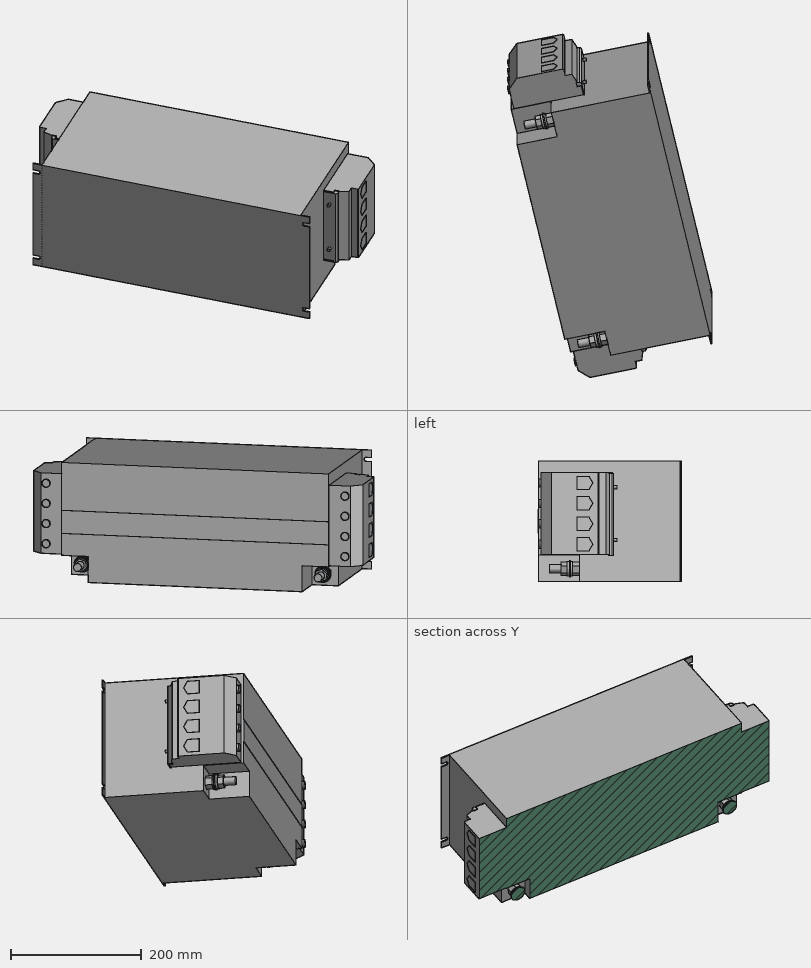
import cadquery as cq

housing_width = 420.5
housing_rear = 218.5
housing_height = 185.0

band_bottom = 75.0
band_top = 110.5
band_thickness = 0.5

plate_width = 449.0
plate_thickness = 2.0
slot_width = 6.0
slot_depth = 11.5
slot_spacing = 155.5

overall_width = 519.5
cell_count = 4
terminal_bottom = 41.5
terminal_top = 167.0
cell_height = (terminal_top - terminal_bottom) / cell_count
marker_thickness = 0.5
terminal_face = overall_width / 2 - marker_thickness
terminal_rear = 214.5
rear_chamfer = 15.5
front_chamfer = 1.5
terminal_nose = 125.5
step_face = 248.0
step_front = 115.5
slope_face = 232.5
slope_front = 110.0
lip_rear = 111.5
lip_inner_face = 226.0
terminal_front = 105.5

marker_rear = 160.0
marker_shoulder = 141.5
marker_tip = 135.5
marker_height = 20.5

cap_diameter = 12.5
cap_height = 3.0
cap_x = 235.5

bracket_drop = 1.5
bracket_front = 104
bracket_chamfer = 2.5
bracket_screw_diameter = 4.5
bracket_screw_end = 98.5
bracket_screw_x = 220.5
bracket_screw_spacing = 80.5

recess_depth = 41.5
recess_front = 156
recess_top = 40.5
stud_x = housing_width / 2 - recess_depth / 2
stud_z = 20.0
stud_diameter = 12.5
stud_tip = 202.0
hex_corner_diameter = 21
hex_tilt = 8
lower_nut_rear = 167.0
large_washer_front = 169.5
large_washer_rear = 171.5
small_washer_rear = 175.0
upper_nut_rear = 184.0
small_washer_diameter = 22.5
large_washer_diameter = 25.0


def slab(width, y_front, y_rear, z_bottom, z_top):
    """Block centred on X."""
    size = (width, y_rear - y_front, z_top - z_bottom)
    return cq.Workplane("XY").box(*size, centered=(True, False, False)).translate((0, y_front, z_bottom))


def prism(points, z_bottom, z_top):
    """Upright prism over an outline in X and Y."""
    return cq.Workplane("XY").workplane(offset=z_bottom).polyline(points).close().extrude(z_top - z_bottom)


def rod(diameter, x, z, y_front, y_rear):
    """Cylinder along Y."""
    plane = cq.Workplane("XZ", origin=(x, y_front, z))
    return plane.circle(diameter / 2).extrude(y_front - y_rear)


def hex_nut(y_front, y_rear):
    """Hexagon on the earth stud axis, turned so that one corner leans off the vertical."""
    plane = cq.Workplane("XZ", origin=(stud_x, y_front, stud_z))
    nut = plane.polygon(6, hex_corner_diameter).extrude(y_front - y_rear)
    return nut.rotate((stud_x, 0, stud_z), (stud_x, 1, stud_z), 90 + hex_tilt)


def mounting_plate():
    plate = slab(plate_width, 0, plate_thickness, 0, housing_height)
    slot_centre = plate_width / 2 - slot_depth + slot_width / 2
    for side in (-1, 1):
        for z in ((housing_height - slot_spacing) / 2, (housing_height + slot_spacing) / 2):
            slot = (
                cq.Workplane("XZ", origin=(side * (slot_centre + slot_depth), 0, z))
                .slot2D(2 * slot_depth + slot_width, slot_width)
                .extrude(-plate_thickness)
            )
            plate = plate.cut(slot)
    return plate


def terminal_block():
    """Terminal block of the +X end with its markers and screw caps."""
    inner = housing_width / 2
    outline = [
        (inner, terminal_rear),
        (terminal_face - rear_chamfer, terminal_rear),
        (terminal_face, terminal_rear - rear_chamfer),
        (terminal_face, terminal_nose + front_chamfer),
        (terminal_face - front_chamfer, terminal_nose),
        (step_face, terminal_nose),
        (step_face, step_front),
        (slope_face, slope_front),
        (slope_face, lip_rear),
        (lip_inner_face, lip_rear),
        (lip_inner_face, terminal_front),
        (inner, terminal_front),
    ]
    block = prism(outline, terminal_bottom, terminal_top)
    for index in range(cell_count):
        z = terminal_bottom + (index + 0.5) * cell_height
        marker_outline = [
            (marker_rear, z - marker_height / 2),
            (marker_shoulder, z - marker_height / 2),
            (marker_tip, z),
            (marker_shoulder, z + marker_height / 2),
            (marker_rear, z + marker_height / 2),
        ]
        marker = (
            cq.Workplane("YZ", origin=(terminal_face, 0, 0))
            .polyline(marker_outline)
            .close()
            .extrude(marker_thickness)
        )
        cap = rod(cap_diameter, cap_x, z, terminal_rear - cap_height, terminal_rear + cap_height)
        block = block.union(marker).union(cap)
    return block


def terminal_bracket():
    """Strip of the +X end that covers the front of the terminal block, with its two screws."""
    inner = housing_width / 2
    outline = [
        (inner, bracket_front),
        (slope_face - bracket_chamfer, bracket_front),
        (slope_face, bracket_front + bracket_chamfer),
        (slope_face, lip_rear),
        (lip_inner_face, lip_rear),
        (lip_inner_face, terminal_front),
        (inner, terminal_front),
    ]
    bracket = prism(outline, terminal_bottom - bracket_drop, terminal_top - bracket_drop)
    middle = (terminal_bottom + terminal_top) / 2
    for side in (-1, 1):
        z = middle + side * bracket_screw_spacing / 2
        screw = rod(bracket_screw_diameter, bracket_screw_x, z, bracket_screw_end, terminal_front)
        bracket = bracket.union(screw)
    return bracket


def earth_recess():
    """Corner space of the +X end, open to the side, the rear and the bottom."""
    block = slab(recess_depth, recess_front, housing_rear + band_thickness, 0, recess_top)
    return block.translate((stud_x, 0, 0))


def earth_stud():
    """Stud of the +X end with two nuts clamping a pair of washers."""
    stud = rod(stud_diameter, stud_x, stud_z, recess_front, stud_tip)
    stud = stud.union(hex_nut(recess_front, lower_nut_rear))
    stud = stud.union(rod(small_washer_diameter, stud_x, stud_z, lower_nut_rear, large_washer_front))
    stud = stud.union(rod(large_washer_diameter, stud_x, stud_z, large_washer_front, large_washer_rear))
    stud = stud.union(rod(small_washer_diameter, stud_x, stud_z, large_washer_rear, small_washer_rear))
    return stud.union(hex_nut(small_washer_rear, upper_nut_rear))


housing = slab(housing_width, 0, housing_rear, 0, housing_height)
rear_band = slab(housing_width, housing_rear, housing_rear + band_thickness, band_bottom, band_top)
result = housing.union(rear_band).union(mounting_plate())

recess = earth_recess()
result = result.cut(recess).cut(recess.mirror("YZ"))
for fitting in (terminal_block(), terminal_bracket(), earth_stud()):
    result = result.union(fitting).union(fitting.mirror("YZ"))